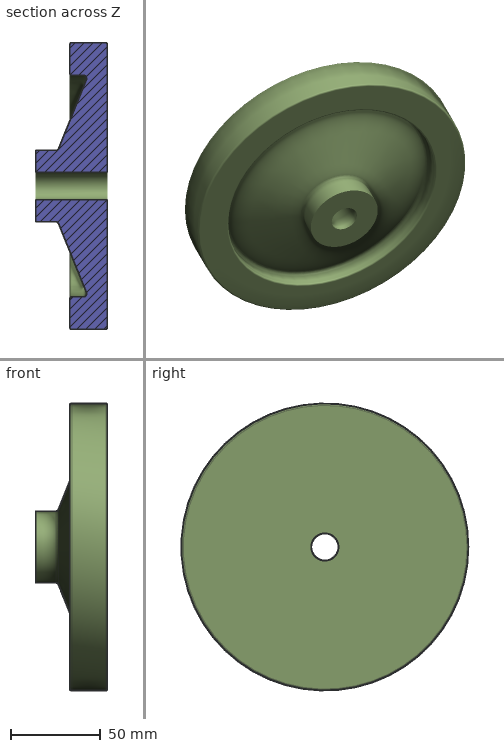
import cadquery as cq
import math

total_length = 40.0
wheel_diameter = 160.0
rim_width = 21.0
rim_edge_radius = 1.0
recess_diameter = 123.28
hub_diameter = 40.0
bore_diameter = 15.0

web_outer_diameter = 118.4
web_lean = math.radians(22.0)
hub_corner_x = 12.3
hub_fillet_radius = 1.5

wheel_radius = wheel_diameter / 2
recess_radius = recess_diameter / 2
hub_radius = hub_diameter / 2
rim_front_x = total_length - rim_width

recess_fillet_radius = (recess_radius - web_outer_diameter / 2) / (1 + math.sin(web_lean))


def web_x(radius):
    """Axial position of the conical web face at a given radius."""
    return hub_corner_x + (radius - hub_radius) * math.tan(web_lean)


def circle_edges(x, radius):
    """Selector for the circular edge around the X axis with this position and radius."""
    margin = 0.01
    outer = radius + margin
    inner = radius - margin
    within_outer = cq.selectors.BoxSelector(
        (x - margin, -outer, -outer), (x + margin, outer, outer), boundingbox=True
    )
    within_inner = cq.selectors.BoxSelector(
        (x - margin, -inner, -inner), (x + margin, inner, inner), boundingbox=True
    )
    return within_outer - within_inner


def make_wheel():
    """Revolve the half section, drawn as (axial position, radius), about the X axis."""
    return (
        cq.Workplane("XY")
        .moveTo(0, 0)
        .lineTo(0, hub_radius)
        .lineTo(hub_corner_x, hub_radius)
        .lineTo(web_x(recess_radius), recess_radius)
        .lineTo(rim_front_x, recess_radius)
        .lineTo(rim_front_x, wheel_radius)
        .lineTo(total_length, wheel_radius)
        .lineTo(total_length, 0)
        .close()
        .revolve(360, (0, 0, 0), (1, 0, 0))
    )


def round_edges(body):
    """Round the rim edges and the inner and outer corners of the conical web face."""
    rounded_edges = [
        (rim_front_x, wheel_radius, rim_edge_radius),
        (total_length, wheel_radius, rim_edge_radius),
        (rim_front_x, recess_radius, rim_edge_radius),
        (hub_corner_x, hub_radius, hub_fillet_radius),
        (web_x(recess_radius), recess_radius, recess_fillet_radius),
    ]
    for x, radius, fillet_radius in rounded_edges:
        body = body.edges(circle_edges(x, radius)).fillet(fillet_radius)
    return body


def cut_bore(body):
    """Cut the through bore along the wheel axis."""
    bore = cq.Workplane("YZ").circle(bore_diameter / 2).extrude(total_length)
    return body.cut(bore)


result = cut_bore(round_edges(make_wheel()))